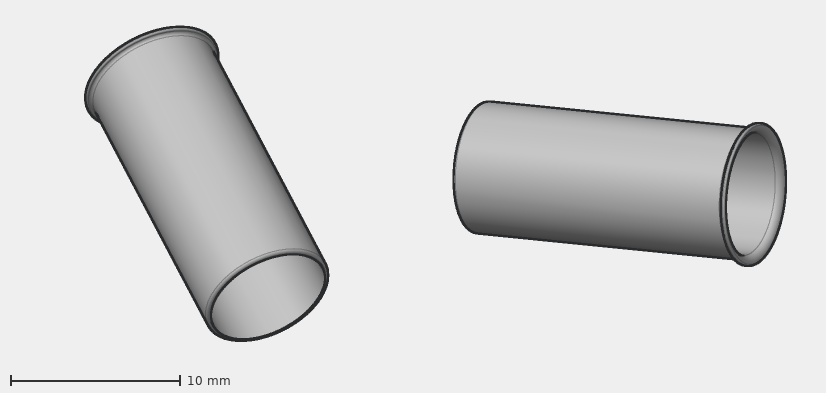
import cadquery as cq
import math

LENGTH = 17.99
FLANGE_RADIUS = 4.25
OUTER_RADIUS = 3.925
BORE_RADIUS = 3.65
FLARE_THICKNESS = 0.3
RIM_ROUND = 0.125
END_ROUND = 0.2

RIM_BASE_RADIUS = FLANGE_RADIUS - RIM_ROUND
MOUTH_CURVE = RIM_BASE_RADIUS - BORE_RADIUS
NECK_CURVE = RIM_BASE_RADIUS - OUTER_RADIUS
X_START = -LENGTH / 2
X_END = LENGTH / 2
RIM_BACK = X_START + FLARE_THICKNESS
DIAGONAL = math.sqrt(0.5)


def quarter_arc(profile, center, radius, x_side, r_side, end):
    """Add a quarter circle through its 45 degree point on the given side of its center."""
    offset = radius * DIAGONAL
    middle = (center[0] + x_side * offset, center[1] + r_side * offset)
    return profile.threePointArc(middle, end)


def make_profile():
    """Closed half section of the sleeve: X along the axis, Y as radius."""
    mouth = (X_START + MOUTH_CURVE, RIM_BASE_RADIUS)
    rim_front = (X_START + RIM_ROUND, RIM_BASE_RADIUS)
    rim_back = (RIM_BACK - RIM_ROUND, RIM_BASE_RADIUS)
    neck = (RIM_BACK + NECK_CURVE, RIM_BASE_RADIUS)
    plain_end = (X_END - END_ROUND, OUTER_RADIUS - END_ROUND)

    profile = cq.Workplane("XY").moveTo(mouth[0], BORE_RADIUS)
    profile = quarter_arc(profile, mouth, MOUTH_CURVE, -1, -1, (X_START, RIM_BASE_RADIUS))
    profile = quarter_arc(profile, rim_front, RIM_ROUND, -1, 1, (rim_front[0], FLANGE_RADIUS))
    profile = profile.lineTo(rim_back[0], FLANGE_RADIUS)
    profile = quarter_arc(profile, rim_back, RIM_ROUND, 1, 1, (RIM_BACK, RIM_BASE_RADIUS))
    profile = quarter_arc(profile, neck, NECK_CURVE, -1, -1, (neck[0], OUTER_RADIUS))

    profile = profile.lineTo(plain_end[0], OUTER_RADIUS)
    profile = quarter_arc(profile, plain_end, END_ROUND, 1, 1, (X_END, plain_end[1]))
    profile = profile.lineTo(X_END, BORE_RADIUS)
    return profile.close()


result = make_profile().revolve(360, (0, 0, 0), (1, 0, 0))